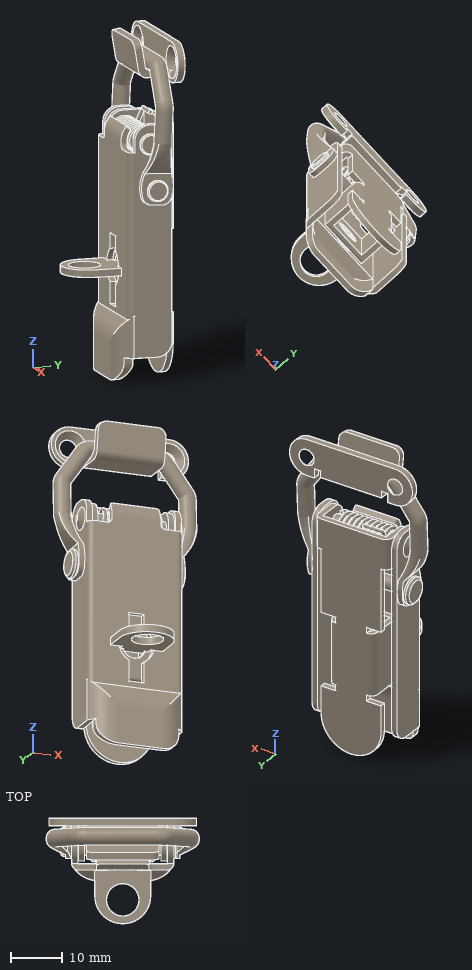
import cadquery as cq
import math


total_height = 68.0
sheet = 1.25
lever_half_width = 10.0
lever_front = 10.15
lever_inner_half = lever_half_width - sheet
lever_inner_front = lever_front - sheet
hinge_y = -5.8
hinge_z = 47.7
hinge_pin_radius = 1.5
bail_pivot_y = -4.65
bail_pivot_z = 38.55
bail_pin_radius = 1.5
staple_z = 21.55
cut_margin = 1.0


def box(x0, x1, y0, y1, z0, z1):
    """Box between two opposite corners."""
    return cq.Workplane("XY").box(x1 - x0, y1 - y0, z1 - z0, centered=False).translate((x0, y0, z0))


def cylinder_x(radius, x0, x1, y, z):
    """Round bar along X."""
    return cq.Workplane("YZ", origin=(x0, 0, 0)).center(y, z).circle(radius).extrude(x1 - x0)


keeper_thickness = 1.5
keeper_hole_spacing = 20.8
keeper_end_radius = 4.07
keeper_z = total_height - keeper_end_radius
screw_hole_diameter = 3.5
countersink_diameter = 6.5
countersink_angle = 90.0
hook_half_width = 7.15
hook_bottom = 60.4
hook_lean = math.radians(9.5)
hook_inner_front = 5.7
hook_relief = 1.45
hook_inner_radius = 1.0
hook_outer_radius = 1.75
hook_corner_radius = 1.8


def make_keeper():
    length = keeper_hole_spacing + 2 * keeper_end_radius
    floor = hook_bottom + keeper_thickness
    plate = cq.Workplane("XZ", origin=(0, 0, keeper_z)).slot2D(length, 2 * keeper_end_radius)
    plate = plate.extrude(keeper_thickness)
    notch_half = hook_half_width + hook_relief
    plate_bottom = total_height - 2 * keeper_end_radius
    plate = plate.cut(box(-notch_half, notch_half, -keeper_thickness, 0, plate_bottom, floor))
    plate = (
        plate.faces("<Y").workplane(origin=(0, -keeper_thickness, keeper_z))
        .pushPoints([(-keeper_hole_spacing / 2, 0), (keeper_hole_spacing / 2, 0)])
        .cskHole(screw_hole_diameter, countersink_diameter, countersink_angle)
    )

    rise = total_height - floor
    inner_top_y = -hook_inner_front - rise * math.tan(hook_lean)
    blade_depth = keeper_thickness / math.cos(hook_lean)
    outer_low_y = -hook_inner_front - blade_depth + keeper_thickness * math.tan(hook_lean)
    hook = (
        cq.Workplane("YZ", origin=(-hook_half_width, 0, 0))
        .moveTo(0, hook_bottom)
        .lineTo(outer_low_y, hook_bottom)
        .lineTo(
            inner_top_y - keeper_thickness * math.cos(hook_lean),
            total_height - keeper_thickness * math.sin(hook_lean),
        )
        .lineTo(inner_top_y, total_height)
        .lineTo(-hook_inner_front, floor)
        .lineTo(0, floor)
        .close()
        .extrude(2 * hook_half_width)
    )
    outer_bend = cq.selectors.NearestToPointSelector((0, outer_low_y, hook_bottom))
    hook = hook.edges(outer_bend).fillet(hook_outer_radius)
    inner_bend = cq.selectors.NearestToPointSelector((0, -hook_inner_front, floor))
    hook = hook.edges(inner_bend).fillet(hook_inner_radius)
    blade_top = cq.selectors.NearestToPointSelector((0, inner_top_y - keeper_thickness / 2, total_height))
    blade_corners = hook.faces(blade_top).edges("not(|X)")
    hook = blade_corners.fillet(hook_corner_radius)
    return plate.union(hook)


wire_radius = 1.75
bail_half_width = 15.0
bail_top_y = -3.55
bail_top_z = 63.05
leg_axis_x = bail_half_width - wire_radius
top_corner_x = 8.05
shoulder_z = 55.7
bend_radius = 2.0
leg_end_z = 48.5
flat_start_z = 42.0
eye_thickness = 1.2
eye_half_width = 3.3
eye_neck_half_width = 2.75
eye_bottom = 2.85
eye_foot_half_width = 1.3
eye_corner_radius = 2.0
eye_widest = 0.4
eye_corner_y = 3.0
eye_corner_z = -1.4
taper_mid_x = -12.4
taper_mid_half_x = 1.4
taper_mid_half_y = 2.1
taper_mid_bulge = 0.35
bail_head_radius = 2.9
bail_head_chamfer = 0.5
bail_head_height = 1.0
bail_tail_radius = 2.1
bail_tail_height = 0.6
tail_chamfer = 0.25

bail_lean = math.atan2(bail_top_y - bail_pivot_y, bail_top_z - bail_pivot_z)


def rounded_path(points, radius):
    """Open wire through the points in the XZ plane, with a tangent arc at every inner corner."""
    path = cq.Workplane("XZ").moveTo(*points[0])
    for before, corner, after in zip(points, points[1:], points[2:]):
        back = cq.Vector(*before) - cq.Vector(*corner)
        ahead = cq.Vector(*after) - cq.Vector(*corner)
        setback = radius / math.tan(back.getAngle(ahead) / 2)
        arc_start = cq.Vector(*corner) + back.normalized() * setback
        arc_end = cq.Vector(*corner) + ahead.normalized() * setback
        path = path.lineTo(arc_start.x, arc_start.y)
        path = path.tangentArcPoint((arc_end.x, arc_end.y), relative=False)
    return path.lineTo(*points[-1])


def bulged_section(x, z, half_x, half_y, bulge):
    """Four-sided closed wire at height z whose sides bow outwards by the bulge, or are straight."""
    corners = [(x + sx * half_x, sy * half_y) for sx, sy in ((-1, -1), (1, -1), (1, 1), (-1, 1))]
    middles = [
        (x, -half_y - bulge),
        (x + half_x + bulge, 0),
        (x, half_y + bulge),
        (x - half_x - bulge, 0),
    ]
    section = cq.Workplane("XY", origin=(0, 0, z)).moveTo(*corners[0])
    for middle, corner in zip(middles, corners[1:] + corners[:1]):
        if bulge > 0:
            section = section.threePointArc(middle, corner)
        else:
            section = section.lineTo(*corner)
    return section.close().val()


def make_bail_end(leg_end):
    """Flattened left end of the wire: taper from round to flat, then the eye around the pivot."""
    flat_start = flat_start_z - bail_pivot_z
    eye_x = -lever_half_width - eye_thickness / 2
    corner = wire_radius / math.sqrt(2)
    round_bulge = wire_radius - corner
    mid_z = (leg_end + flat_start) / 2
    mid_corner_x = taper_mid_half_x - taper_mid_bulge
    mid_corner_y = taper_mid_half_y - taper_mid_bulge
    sections = [
        bulged_section(-leg_axis_x, leg_end, corner, corner, round_bulge),
        bulged_section(taper_mid_x, mid_z, mid_corner_x, mid_corner_y, taper_mid_bulge),
        bulged_section(eye_x, flat_start, eye_thickness / 2, eye_neck_half_width, 0),
    ]
    taper = cq.Workplane(cq.Solid.makeLoft(sections))
    eye = (
        cq.Workplane("YZ", origin=(-lever_half_width - eye_thickness, 0, 0))
        .moveTo(-eye_neck_half_width, flat_start)
        .threePointArc((-eye_half_width, eye_widest), (-eye_corner_y, eye_corner_z))
        .radiusArc((-eye_foot_half_width, -eye_bottom), -eye_corner_radius)
        .lineTo(eye_foot_half_width, -eye_bottom)
        .radiusArc((eye_corner_y, eye_corner_z), -eye_corner_radius)
        .threePointArc((eye_half_width, eye_widest), (eye_neck_half_width, flat_start))
        .close()
        .extrude(eye_thickness)
    )
    return taper.union(eye)


def make_bail():
    """Bail built upright around its pivot, then leaned back and moved to the pivot."""
    top = math.hypot(bail_top_y - bail_pivot_y, bail_top_z - bail_pivot_z)
    shoulder = shoulder_z - bail_pivot_z
    leg_end = leg_end_z - bail_pivot_z
    points = [
        (-leg_axis_x, leg_end),
        (-leg_axis_x, shoulder),
        (-top_corner_x, top),
        (top_corner_x, top),
        (leg_axis_x, shoulder),
        (leg_axis_x, leg_end),
    ]
    loop = (
        cq.Workplane("XY", origin=(-leg_axis_x, 0, leg_end))
        .circle(wire_radius)
        .sweep(rounded_path(points, bend_radius))
    )
    left_end = make_bail_end(leg_end)
    eye_face = lever_half_width + eye_thickness
    pin = cylinder_x(bail_pin_radius, -eye_face, eye_face, 0, 0)
    head = cylinder_x(bail_head_radius, -eye_face - bail_head_height, -eye_face, 0, 0)
    head = head.faces("<X").edges().chamfer(bail_head_chamfer)
    tail = cylinder_x(bail_tail_radius, eye_face, eye_face + bail_tail_height, 0, 0)
    tail = tail.faces(">X").edges().chamfer(tail_chamfer)
    bail = loop.union(left_end).union(left_end.mirror("YZ")).union(pin).union(head).union(tail)
    bail = bail.rotate((0, 0, 0), (1, 0, 0), -math.degrees(bail_lean))
    return bail.translate((0, bail_pivot_y, bail_pivot_z))


wall_bottom = 5.0
wall_top = 51.55
wall_corner_radius = 3.0
front_top = 46.15
tab_half_width = 5.15
tab_root_radius = 1.0
tab_corner_radius = 0.7
tab_curl = math.radians(43)
slot_width = 3.2
slot_bottom = 13.85
slot_top = 28.0
keyhole_radius = 3.7
grip_front = 12.3
grip_face_half = 4.65
grip_face_top = 7.7
grip_top_radius = 6.75
grip_side_radius = 6.1


def grip_form(inset):
    """Solid filling the grip's bulge in front of the sheet's inner face, shrunk by the inset."""
    front = inset - grip_front
    back = -lever_inner_front
    top_radius = grip_top_radius - inset
    top_center_y = front + top_radius
    arc_top = grip_face_top + math.sqrt(top_radius**2 - (back - top_center_y) ** 2)
    side_form = (
        cq.Workplane("YZ", origin=(-lever_half_width, 0, 0))
        .moveTo(back, 0)
        .lineTo(front, 0)
        .lineTo(front, grip_face_top)
        .radiusArc((back, arc_top), top_radius)
        .close()
        .extrude(2 * lever_half_width)
    )
    side_radius = grip_side_radius - inset
    side_center_y = front + side_radius
    reach = grip_face_half + math.sqrt(side_radius**2 - (back - side_center_y) ** 2)
    section_form = (
        cq.Workplane("XY")
        .moveTo(-reach, back)
        .radiusArc((-grip_face_half, front), -side_radius)
        .lineTo(grip_face_half, front)
        .radiusArc((reach, back), -side_radius)
        .close()
        .extrude(arc_top)
    )
    return side_form.intersect(section_form)


def grip_outline():
    """Front outline of the grip: a narrower tongue with rounded corners below the walls."""
    depth = grip_front + cut_margin
    upper = box(-lever_half_width, lever_half_width, -depth, 0, wall_bottom, wall_top)
    corner = lever_inner_half - grip_face_half
    tongue = box(-lever_inner_half, lever_inner_half, -depth, 0, 0, wall_bottom)
    tongue = tongue.edges("|Y").edges("<Z").fillet(corner)
    return upper.union(tongue)


def make_lever():
    channel = box(-lever_half_width, lever_half_width, -lever_front, -sheet, wall_bottom, wall_top)
    channel = channel.faces("<Y").edges("|Z").fillet(sheet)
    channel = channel.cut(
        box(-lever_half_width, lever_half_width, -lever_front, -lever_inner_front, front_top, wall_top)
    )
    channel = channel.edges("|X").edges(">Z").fillet(wall_corner_radius)
    channel = channel.edges("|X").edges("<Z").edges(">Y").fillet(wall_corner_radius)
    channel = channel.cut(
        box(-lever_inner_half, lever_inner_half, -lever_inner_front, 0, 0, total_height)
    )

    outer_grip = grip_form(0).intersect(grip_outline())
    lever = channel.union(outer_grip).cut(grip_form(sheet))

    lever = lever.union(make_tab())
    slot = box(-slot_width / 2, slot_width / 2, -lever_front, -lever_inner_front, slot_bottom, slot_top)
    keyhole = cq.Workplane("XZ", origin=(0, 0, staple_z)).circle(keyhole_radius).extrude(lever_front)
    lever = lever.cut(slot).cut(keyhole)
    for radius, y, z in ((hinge_pin_radius, hinge_y, hinge_z), (bail_pin_radius, bail_pivot_y, bail_pivot_z)):
        lever = lever.cut(cylinder_x(radius, -lever_half_width, lever_half_width, y, z))
    return lever


def make_tab():
    """Tab that continues the front face upwards and curls around the hinge."""
    outer_radius = lever_front + hinge_y
    inner_radius = outer_radius - sheet

    def on_curl(radius, angle):
        return hinge_y - radius * math.cos(angle), hinge_z + radius * math.sin(angle)

    tab = (
        cq.Workplane("YZ", origin=(-tab_half_width, 0, 0))
        .moveTo(-lever_front, front_top)
        .lineTo(*on_curl(outer_radius, 0))
        .threePointArc(on_curl(outer_radius, tab_curl / 2), on_curl(outer_radius, tab_curl))
        .lineTo(*on_curl(inner_radius, tab_curl))
        .threePointArc(on_curl(inner_radius, tab_curl / 2), on_curl(inner_radius, 0))
        .lineTo(-lever_inner_front, front_top)
        .close()
        .extrude(2 * tab_half_width)
    )
    end_y, end_z = on_curl((outer_radius + inner_radius) / 2, tab_curl)
    for side in (-1, 1):
        corner = cq.selectors.NearestToPointSelector((side * tab_half_width, end_y, end_z))
        tab = tab.edges(corner).fillet(tab_corner_radius)
        root_top = front_top + tab_root_radius
        root = box(0, tab_root_radius, -lever_front, -lever_inner_front, front_top, root_top)
        hollow = cq.Workplane("XZ", origin=(tab_root_radius, 0, root_top))
        root = root.cut(hollow.circle(tab_root_radius).extrude(lever_front))
        root = root.translate((tab_half_width, 0, 0))
        tab = tab.union(root if side > 0 else root.mirror("YZ"))
    return tab


base_half_width = 8.7
plate_half_width = 7.05
fold_radius = base_half_width - plate_half_width
ear_bottom = 44.2
base_top = 51.1
ear_front = 8.4
ear_corner_radius = 2.8
bridge_half_width = 5.3
bridge_half_height = 7.05
bridge_bottom_radius = 0.6
relief_height = 1.3
staple_hole_radius = 2.4
hinge_cone_radius = 2.3
hinge_cone_tip_radius = 0.5
hinge_cone_height = 0.85
hinge_tail_radius = 2.1
hinge_tail_height = 0.6


def base_channel(half_width, front, z0, z1):
    """Length of U channel, open to the front, with rounded folds along the back plate."""
    outer = box(-half_width, half_width, -front, 0, z0, z1)
    outer = outer.edges("|Z").edges(">Y").fillet(fold_radius)
    inner_half = half_width - sheet
    return outer.cut(box(-inner_half, inner_half, -front, -sheet, z0, z1))


def make_base():
    plate = box(-plate_half_width, plate_half_width, -sheet, 0, plate_half_width, base_top)
    end = cq.Workplane("XZ", origin=(0, 0, plate_half_width)).circle(plate_half_width).extrude(sheet)
    plate = plate.union(end)

    ears = base_channel(base_half_width, ear_front, ear_bottom, base_top)
    ears = ears.faces("<Y").edges("|X").fillet(ear_corner_radius)

    bridge_bottom = staple_z - bridge_half_height
    bridge_top = staple_z + bridge_half_height
    bridge = base_channel(bridge_half_width, lever_inner_front, bridge_bottom, bridge_top)
    front_wall = box(
        -bridge_half_width,
        bridge_half_width,
        -lever_inner_front,
        sheet - lever_inner_front,
        bridge_bottom,
        bridge_top,
    )
    bridge = bridge.union(front_wall)
    bridge = bridge.faces("<Y").edges("<Z").fillet(bridge_bottom_radius)
    hole = cq.Workplane("XZ", origin=(0, -sheet, staple_z)).circle(staple_hole_radius)
    bridge = bridge.cut(hole.extrude(lever_inner_front))

    relief = box(
        bridge_half_width - fold_radius,
        plate_half_width,
        -sheet,
        0,
        bridge_bottom - relief_height,
        bridge_top + relief_height,
    )
    plate = plate.cut(relief).cut(relief.mirror("YZ"))
    return plate.union(ears).union(bridge).union(make_hinge_pin())


def make_hinge_pin():
    pin = cylinder_x(hinge_pin_radius, -lever_half_width, lever_half_width, hinge_y, hinge_z)
    cone = cq.Workplane(
        cq.Solid.makeCone(
            hinge_cone_radius,
            hinge_cone_tip_radius,
            hinge_cone_height,
            pnt=cq.Vector(-lever_half_width, hinge_y, hinge_z),
            dir=cq.Vector(-1, 0, 0),
        )
    )
    tail_end = lever_half_width + hinge_tail_height
    tail = cylinder_x(hinge_tail_radius, lever_half_width, tail_end, hinge_y, hinge_z)
    tail = tail.faces(">X").edges().chamfer(tail_chamfer)
    return pin.union(cone).union(tail)


spring_wire_radius = 0.4
coil_radius = 2.35
coil_start_x = -6.35
coil_end_x = 6.05
coil_turns = 10.75
hook_leg_y = -1.75
hook_leg_z = 51.55
hook_leg_end_x = -1.85


def rod(start, end, radius):
    """Round rod between two points with a ball at its start."""
    start = cq.Vector(*start)
    axis = cq.Vector(*end) - start
    bar = cq.Workplane(cq.Solid.makeCylinder(radius, axis.Length, start, axis))
    return bar.union(cq.Workplane("XY").sphere(radius).translate(start.toTuple()))


def make_spring():
    length = coil_end_x - coil_start_x
    helix = cq.Wire.makeHelix(length / coil_turns, length, coil_radius, lefthand=True)
    coil = (
        cq.Workplane("XZ", origin=(coil_radius, 0, 0))
        .circle(spring_wire_radius)
        .sweep(helix, isFrenet=True)
        .rotate((0, 0, 0), (0, 1, 0), 90)
        .rotate((0, 0, 0), (1, 0, 0), 90)
        .translate((coil_start_x, hinge_y, hinge_z))
    )
    coil_start = (coil_start_x, hinge_y + coil_radius, hinge_z)
    bend = (coil_start_x, hook_leg_y, hook_leg_z)
    leg = rod(coil_start, bend, spring_wire_radius)
    hook = rod(bend, (hook_leg_end_x, hook_leg_y, hook_leg_z), spring_wire_radius)
    return coil.union(leg).union(hook)


staple_thickness = 1.5
staple_half_width = 5.5
staple_reach = 20.7
staple_hole_y = -16.0
staple_eye_radius = 3.15
staple_gap = 0.05
shoulder_half_width = 3.0
neck_half_width = 2.2


def make_staple():
    eye_y = staple_half_width - staple_reach
    plate_back = -lever_front - staple_gap
    bottom = staple_z - staple_thickness / 2
    top = staple_z + staple_thickness / 2
    plate = box(-staple_half_width, staple_half_width, eye_y, plate_back, bottom, top)
    plane = cq.Workplane("XY", origin=(0, 0, bottom))
    plate = plate.union(plane.center(0, eye_y).circle(staple_half_width).extrude(staple_thickness))
    plate = plate.cut(plane.center(0, staple_hole_y).circle(staple_eye_radius).extrude(staple_thickness))
    shoulder = box(-shoulder_half_width, shoulder_half_width, plate_back, -lever_inner_front, bottom, top)
    neck = box(-neck_half_width, neck_half_width, -lever_inner_front, sheet - lever_inner_front, bottom, top)
    return plate.union(shoulder).union(neck)


bail = make_bail()
keeper = make_keeper().cut(bail)
lever = make_lever()
base = make_base()
spring = make_spring()
staple = make_staple()

result = cq.Compound.makeCompound(
    [keeper.val(), bail.val(), lever.val(), base.val(), spring.val(), staple.val()]
)